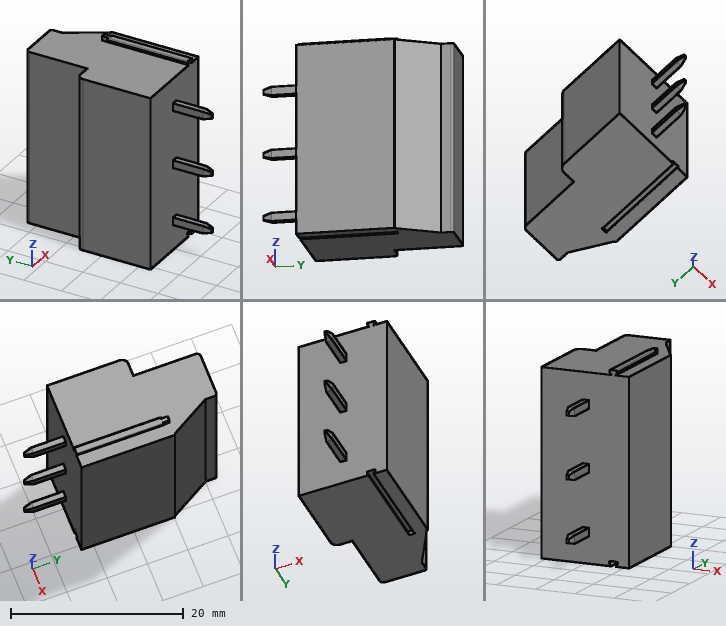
import cadquery as cq


pole_count = 3
pole_pitch = 7.62

overall_height = 23.45
body_width = 11.2
body_depth = 18.0
body_height = pole_count * pole_pitch
shoulder_width = 2.4
shoulder_depth = 9.8
shoulder_radius = 0.8
crown_right_x = 8.2
crown_radius = 0.5
crown_right_radius = 0.3
slope_top = body_depth - 1.48
slope_bottom = 11.65
ledge_width = 0.16
ledge_drop = 0.1
side_wall_depth = slope_bottom - ledge_drop

pin_x = 5.7
pin_width = 0.8
pin_height = 1.0
pin_length = 5.0
tip_length = 1.0
tip_width = 0.3
tip_height = 0.5
pin_root = 0.47

dovetail_x = 9.2
dovetail_length = side_wall_depth
rail_height = overall_height - body_height
rail_width = 1.0
rail_neck = 0.56
rail_side = 0.2
nose_length = 0.8
rail_rounding = 0.15
groove_clearance = 0.02


def make_housing():
    outline = [
        (0, 0),
        (body_width, 0),
        (body_width, side_wall_depth),
        (body_width - ledge_width, slope_bottom),
        (crown_right_x, slope_top),
        (crown_right_x, body_depth),
        (shoulder_width, body_depth),
        (shoulder_width, shoulder_depth),
        (0, shoulder_depth),
    ]
    housing = cq.Workplane("XY").polyline(outline).close().extrude(body_height)

    def round_edge(solid, x, y, radius):
        nearest = cq.selectors.NearestToPointSelector((x, y, body_height / 2))
        return solid.edges("|Z").edges(nearest).fillet(radius)

    housing = round_edge(housing, 0, shoulder_depth, shoulder_radius)
    housing = round_edge(housing, shoulder_width, body_depth, crown_radius)
    housing = round_edge(housing, crown_right_x, body_depth, crown_right_radius)
    return housing


def make_dovetail(base_z, length, clearance):
    """Dovetail bar along +Y from the pin face, narrow neck at base_z, rounded along the top."""
    half_neck = rail_neck / 2 + clearance
    half_width = rail_width / 2 + clearance
    height = rail_height + clearance
    outline = [
        (-half_neck, 0),
        (half_neck, 0),
        (half_width, height - rail_side),
        (half_width, height),
        (-half_width, height),
        (-half_width, height - rail_side),
    ]
    bar = cq.Workplane("XZ").polyline(outline).close().extrude(-length)
    bar = bar.faces(">Z").edges("|Y").fillet(rail_rounding)
    return bar.translate((dovetail_x, 0, base_z))


def make_rail():
    bar = make_dovetail(body_height, dovetail_length - nose_length, 0)
    nose = cq.Workplane("XY").box(rail_neck, dovetail_length, rail_height, centered=(True, False, False))
    return bar.union(nose.translate((dovetail_x, 0, body_height)))


def make_pin(z):
    shank_length = pin_length - tip_length
    shank = (
        cq.Workplane("XZ", origin=(pin_x, pin_root, z))
        .rect(pin_width, pin_height)
        .extrude(pin_root + shank_length)
    )
    tip = (
        cq.Workplane("XZ", origin=(pin_x, -shank_length, z))
        .rect(pin_width, pin_height)
        .workplane(offset=tip_length)
        .rect(tip_width, tip_height)
        .loft(ruled=True)
    )
    return shank.union(tip)


result = make_housing()
result = result.cut(make_dovetail(0, dovetail_length, groove_clearance))
result = result.union(make_rail())
for pole in range(pole_count):
    result = result.union(make_pin((pole + 0.5) * pole_pitch))